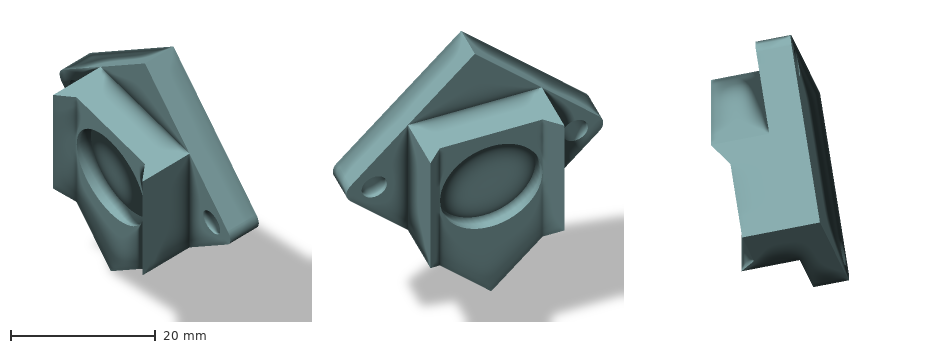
import cadquery as cq

half_diagonal = 20.0
flange_thickness = 5.0
corner_radius = 2.0
hole_diameter = 3.8
hole_offset = 15.0

block_half_width = 10.0
block_top = 10.0
floor_height = 6.0
lip_height = 2.3
foot_width = 0.1
foot_height = 0.1

pocket_diameter = 15.3
pocket_depth = 2.5

floor_y = -(flange_thickness + floor_height)
lip_tip_y = floor_y - lip_height
lip_inner_x = pocket_diameter / 2
lip_foot_y = floor_y - foot_height
lip_foot_x = lip_inner_x + foot_width


def diamond(depth):
    """Square on its corner, extruded from y = 0 toward -Y."""
    corners = [(half_diagonal, 0), (0, half_diagonal), (-half_diagonal, 0), (0, -half_diagonal)]
    return cq.Workplane("XZ").polyline(corners).close().extrude(depth)


def make_flange():
    """Diamond plate with rounded side corners and two mounting holes."""
    plate = diamond(flange_thickness).edges("|Y").edges("<X or >X").fillet(corner_radius)
    holes = (
        cq.Workplane("XZ")
        .pushPoints([(-hole_offset, 0), (hole_offset, 0)])
        .circle(hole_diameter / 2)
        .extrude(flange_thickness)
    )
    return plate.cut(holes)


def make_block():
    """Lipped block with a flat top, trimmed below to the diamond outline."""
    profile = [
        (-block_half_width, -flange_thickness),
        (-block_half_width, lip_tip_y),
        (-lip_foot_x, lip_foot_y),
        (-lip_inner_x, floor_y),
        (lip_inner_x, floor_y),
        (lip_foot_x, lip_foot_y),
        (block_half_width, lip_tip_y),
        (block_half_width, -flange_thickness),
    ]
    bar = (
        cq.Workplane("XY", origin=(0, 0, -half_diagonal))
        .polyline(profile)
        .close()
        .extrude(half_diagonal + block_top)
    )
    return bar.intersect(diamond(-lip_tip_y))


def make_pocket():
    """Cylinder from the pocket floor out past the lip tips."""
    return (
        cq.Workplane("XZ", origin=(0, floor_y + pocket_depth, 0))
        .circle(pocket_diameter / 2)
        .extrude(pocket_depth + lip_height)
    )


result = make_flange().union(make_block()).cut(make_pocket())